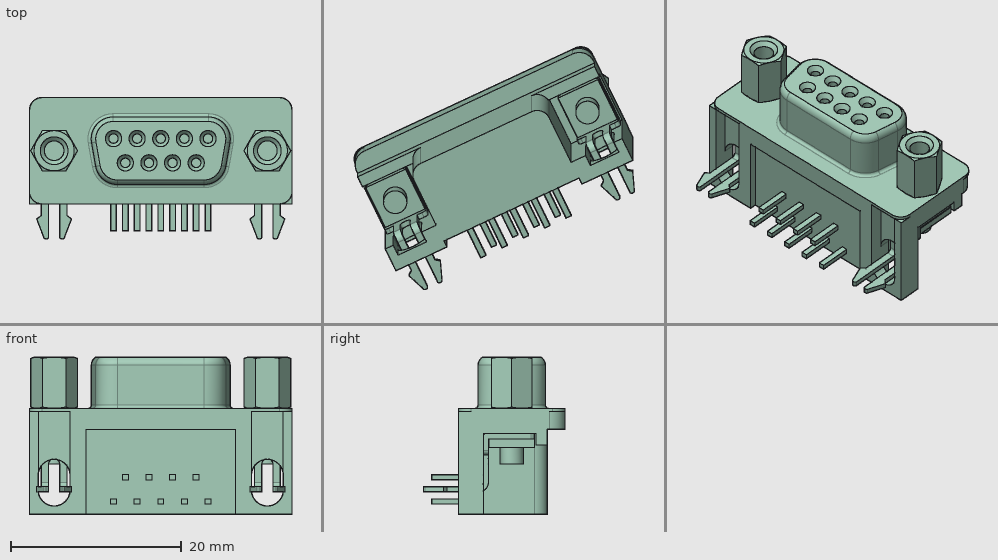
import cadquery as cq
import math


flange_length = 30.8
flange_depth = 12.5
flange_thickness = 0.4
flange_corner_radius = 1.5
front_y = -flange_depth / 2
rear_y = flange_depth / 2
bottom_z = -12.42
flange_block_z = -2.48
flange_block_corner_radius = 1.85
step_z = -2.94
rib_z = -4.27
rib_front_y = 2.84
housing_rear_y = 4.17
housing_half_width = 8.77
housing_corner_radius = 1.53
wall_rear_y = -3.33

recess_width = 2 * housing_half_width
recess_top_z = -2.49
recess_depth = 0.8
channel_width = 3.7
channel_depth = 1.6
channel_bottom_z = -11.44
slot_top_z = -5.98

shell_height = 6.0
shell_depth = 7.92
shell_mid_half_width = 7.95
shell_side_angle = 10.0
shell_corner_radius = 2.58
shell_rim_radius = 1.12
shell_rim_cut = 0.17
shell_base_fillet = 0.38

contact_pitch = 2.77
contact_row_spacing = 2.84
contact_hole_diameter = 1.1
contact_mouth_diameter = 1.9
contact_mouth_depth = 0.6
contact_hole_depth = 5.0
pin_width = 0.7
pin_height = 0.61
pin_tip_y = -9.4
pin_row_mid_z = -9.5

screw_x = 12.5
hex_across_flats = 4.76
hex_chamfer_height = 0.15
hex_chamfer_inset = 0.03
thread_diameter = 2.3
thread_mouth_diameter = 3.25
thread_mouth_depth = 0.5
thread_depth = 6.0
screw_end_diameter = 2.74
screw_end_z = -6.55

nut_width = 5.2
nut_top_z = -3.6
nut_bottom_z = -4.57
nut_front_y = -2.67
clip_width = 5.4
clip_thickness = 0.6
clip_rear_y = 2.64
clip_corner_radius = 0.38
clip_bend_radius = 0.35
clip_tab_z = -5.46
clip_tab_corner_radius = 0.53
clip_tip_y = front_y - 4.1
prong_inner_x = 0.65
prong_outer_x = 1.53
prong_top_z = -9.18
prong_bend_radius = 0.5
slit_top_z = -5.9
barb_outer_x = 2.05
barb_shoulder_y = -7.6
barb_point_y = -8.0
prong_tip_width = 0.5
prong_tip_radius = 0.24


def block(x0, x1, y0, y1, z0, z1):
    """Box given by its limits along each axis."""
    return cq.Workplane("XY").box(x1 - x0, y1 - y0, z1 - z0, centered=False).translate((x0, y0, z0))


def cylinder(x, y, z0, z1, diameter):
    """Upright cylinder between two heights."""
    return cq.Workplane("XY", origin=(x, y, z0)).circle(diameter / 2).extrude(z1 - z0)


def flared_hole(x, y, top_z, depth, diameter, mouth_diameter, mouth_depth):
    """Cutting tool for a blind hole with a conical mouth."""
    cone = (
        cq.Workplane("XY", origin=(x, y, top_z))
        .circle(mouth_diameter / 2)
        .workplane(offset=-mouth_depth)
        .circle(diameter / 2)
        .loft()
    )
    return cylinder(x, y, top_z - depth, top_z, diameter).union(cone)


def make_body():
    half_length = flange_length / 2
    plate = block(-half_length, half_length, front_y, rear_y, -flange_thickness, 0)
    plate = plate.edges("|Z").fillet(flange_corner_radius)
    flange_block = block(-half_length, half_length, front_y, rear_y, flange_block_z, -flange_thickness)
    flange_block = flange_block.edges("|Z and >Y").fillet(flange_block_corner_radius)
    step = block(-half_length, half_length, front_y, housing_rear_y, step_z, flange_block_z)
    rib = block(-half_length, half_length, rib_front_y, housing_rear_y, rib_z, step_z)
    wall = block(-half_length, half_length, front_y, wall_rear_y, bottom_z, step_z)
    housing = block(
        -housing_half_width, housing_half_width, wall_rear_y, housing_rear_y, bottom_z, step_z
    )
    housing = housing.edges("|Z and >Y").fillet(housing_corner_radius)
    return plate.union(flange_block).union(step).union(rib).union(wall).union(housing)


def make_pin_recess():
    half_width = recess_width / 2
    return block(-half_width, half_width, front_y, front_y + recess_depth, bottom_z, recess_top_z)


def make_clip_channel(x):
    """Round-bottomed channel in the front wall, opening into an arched slot through to the back."""
    radius = channel_width / 2
    round_z = channel_bottom_z + radius
    channel_rear_y = front_y + channel_depth
    channel = block(x - radius, x + radius, front_y, channel_rear_y, round_z, -flange_thickness)
    channel_end = (
        cq.Workplane("XZ", origin=(x, channel_rear_y, round_z)).circle(radius).extrude(channel_depth)
    )

    arch_z = slot_top_z - radius
    slot = block(x - radius, x + radius, channel_rear_y, wall_rear_y, bottom_z, arch_z)
    arch = (
        cq.Workplane("XZ", origin=(x, wall_rear_y, arch_z))
        .circle(radius)
        .extrude(wall_rear_y - channel_rear_y)
    )
    return channel.union(channel_end).union(slot).union(arch)


def make_d_prism(height):
    slope = math.tan(math.radians(shell_side_angle))
    half_depth = shell_depth / 2
    wide = shell_mid_half_width + half_depth * slope
    narrow = shell_mid_half_width - half_depth * slope
    outline = [(-wide, half_depth), (wide, half_depth), (narrow, -half_depth), (-narrow, -half_depth)]
    prism = cq.Workplane("XY").polyline(outline).close().extrude(height)
    return prism.edges("not #Z").fillet(shell_corner_radius)


def add_shell(body):
    """D-shaped shell with a partly rounded rim and a flared foot on the flange."""
    shell = make_d_prism(shell_height + shell_rim_cut).faces(">Z").edges().fillet(shell_rim_radius)
    keep = block(-flange_length, flange_length, front_y, rear_y, 0, shell_height)
    shell = shell.intersect(keep)
    joined = body.union(shell)
    foot_edges = cq.selectors.BoxSelector(
        (-screw_x, -shell_depth, -flange_thickness / 2),
        (screw_x, shell_depth, flange_thickness / 2),
        boundingbox=True,
    )
    return joined.edges(foot_edges).fillet(shell_base_fillet)


def contact_row(count):
    """X positions of one row of evenly spaced contacts."""
    return [(i - (count - 1) / 2) * contact_pitch for i in range(count)]


def make_pin(x, z):
    return block(
        x - pin_width / 2, x + pin_width / 2, pin_tip_y, front_y + recess_depth,
        z - pin_height / 2, z + pin_height / 2,
    )


def make_jack_screw(x):
    """Hexagonal standoff with both ends chamfered, and its shank below the nut."""
    across_corners = hex_across_flats / math.cos(math.pi / 6)
    corner_radius = across_corners / 2
    end_radius = hex_across_flats / 2 - hex_chamfer_inset
    hexagon = cq.Workplane("XY").polygon(6, across_corners).extrude(shell_height)
    envelope = (
        cq.Workplane("XZ")
        .moveTo(0, 0)
        .lineTo(end_radius, 0)
        .lineTo(corner_radius, hex_chamfer_height)
        .lineTo(corner_radius, shell_height - hex_chamfer_height)
        .lineTo(end_radius, shell_height)
        .lineTo(0, shell_height)
        .close()
        .revolve(360, (0, 0, 0), (0, 1, 0))
    )
    standoff = hexagon.intersect(envelope).translate((x, 0, 0))
    return standoff.union(cylinder(x, 0, screw_end_z, step_z, screw_end_diameter))


def make_nut(x):
    half_width = nut_width / 2
    return block(x - half_width, x + half_width, nut_front_y, clip_rear_y, nut_bottom_z, nut_top_z)


def make_prong(side):
    """Barbed prong on one side of the clip centre line."""
    outline = [
        (side * prong_inner_x, wall_rear_y - prong_bend_radius),
        (side * prong_outer_x, wall_rear_y - prong_bend_radius),
        (side * prong_outer_x, barb_shoulder_y),
        (side * barb_outer_x, barb_point_y),
        (side * (prong_inner_x + prong_tip_width), clip_tip_y),
        (side * prong_inner_x, clip_tip_y),
    ]
    prong = (
        cq.Workplane("XY", origin=(0, 0, prong_top_z - clip_thickness))
        .polyline(outline)
        .close()
        .extrude(clip_thickness)
    )
    return prong.edges("|Z and <Y").fillet(prong_tip_radius)


def make_clip(x):
    """Bent sheet clip: seat under the flange, upright tab, split legs and barbed prongs."""
    half_width = clip_width / 2
    inner_y = wall_rear_y + clip_thickness
    prong_bottom_z = prong_top_z - clip_thickness

    seat = block(-half_width, half_width, wall_rear_y, clip_rear_y, nut_top_z, step_z)
    seat = seat.edges("|Z and >Y").fillet(clip_corner_radius)
    seat = seat.edges("|X and >Z and <Y").fillet(clip_bend_radius)

    tab = block(-half_width, half_width, wall_rear_y, inner_y, clip_tab_z, nut_top_z)
    tab = tab.edges("|Y and <Z").fillet(clip_tab_corner_radius)

    bend_y = wall_rear_y - prong_bend_radius
    bend_z = prong_top_z + prong_bend_radius
    outer_radius = prong_bend_radius + clip_thickness
    diagonal = math.sqrt(0.5)
    legs = (
        cq.Workplane("YZ", origin=(-prong_outer_x, 0, 0))
        .moveTo(inner_y, clip_tab_z)
        .lineTo(inner_y, bend_z)
        .threePointArc(
            (bend_y + outer_radius * diagonal, bend_z - outer_radius * diagonal), (bend_y, prong_bottom_z)
        )
        .lineTo(bend_y, prong_top_z)
        .threePointArc(
            (bend_y + prong_bend_radius * diagonal, bend_z - prong_bend_radius * diagonal),
            (wall_rear_y, bend_z),
        )
        .lineTo(wall_rear_y, clip_tab_z)
        .close()
        .extrude(2 * prong_outer_x)
    )
    slit_round_z = slit_top_z - prong_inner_x
    slit = block(-prong_inner_x, prong_inner_x, bend_y, inner_y, prong_bottom_z, slit_round_z)
    slit_end = (
        cq.Workplane("XZ", origin=(0, inner_y, slit_round_z)).circle(prong_inner_x).extrude(clip_thickness)
    )
    legs = legs.cut(slit).cut(slit_end)

    clip = seat.union(tab).union(legs)
    for side in (-1, 1):
        clip = clip.union(make_prong(side))
    return clip.translate((x, 0, 0))


body = make_body().cut(make_pin_recess())
for centre_x in (-screw_x, screw_x):
    body = body.cut(make_clip_channel(centre_x))

body = add_shell(body)

for count, row in ((5, 1), (4, -1)):
    row_offset = row * contact_row_spacing / 2
    for contact_x in contact_row(count):
        socket = flared_hole(
            contact_x, row_offset, shell_height, contact_hole_depth,
            contact_hole_diameter, contact_mouth_diameter, contact_mouth_depth,
        )
        body = body.cut(socket)
        body = body.union(make_pin(contact_x, pin_row_mid_z - row_offset))

for centre_x in (-screw_x, screw_x):
    body = body.union(make_clip(centre_x)).union(make_nut(centre_x)).union(make_jack_screw(centre_x))
    thread = flared_hole(
        centre_x, 0, shell_height, thread_depth,
        thread_diameter, thread_mouth_diameter, thread_mouth_depth,
    )
    body = body.cut(thread)

result = body